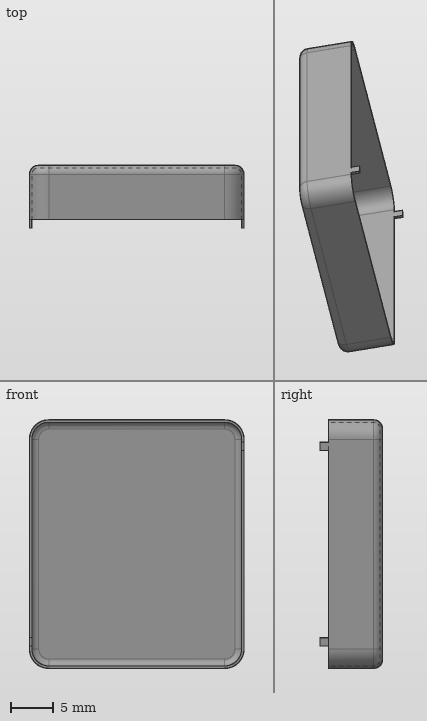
import cadquery as cq

WIDTH = 25.3
HEIGHT = 29.3
TOTAL_DEPTH = 7.4
WALL = 0.3

CORNER_RADIUS = 2.3
BACK_FILLET = 1.1

TAB_LENGTH = 1.0
TAB_HEIGHT = 1.0
TAB_SPACING_Z = 23.0

TRAY_DEPTH = TOTAL_DEPTH - TAB_LENGTH
TAB_CENTER_X = (WIDTH - WALL) / 2
TAB_CENTER_Z = TAB_SPACING_Z / 2


def rounded_block(inset):
    """Block from the rim to the back, with all outer faces moved inward by inset."""
    depth = TRAY_DEPTH - inset
    return (
        cq.Workplane("XY")
        .box(WIDTH - 2 * inset, depth, HEIGHT - 2 * inset)
        .translate((0, depth / 2, 0))
        .edges("|Y")
        .fillet(CORNER_RADIUS - inset)
        .faces(">Y")
        .edges()
        .fillet(BACK_FILLET - inset)
    )


def tab(side):
    """Flat tab continuing a side wall: side = 1 at +X and +Z, -1 at -X and -Z."""
    return (
        cq.Workplane("XY")
        .box(WALL, 2 * TAB_LENGTH, TAB_HEIGHT)
        .translate((side * TAB_CENTER_X, 0, side * TAB_CENTER_Z))
    )


result = rounded_block(0).cut(rounded_block(WALL))

for tab_side in (-1, 1):
    result = result.union(tab(tab_side))